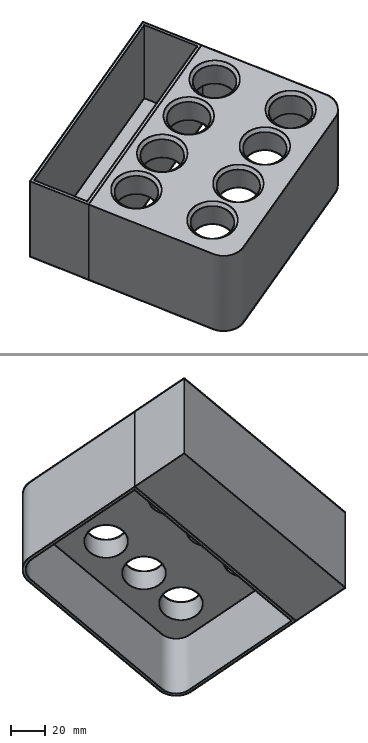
import cadquery as cq

LENGTH_X = 133.6
LENGTH_Y = 140.2
HEIGHT = 66.0
LEFT_X = -LENGTH_X / 2

TRAY_LENGTH_X = 38.5
TRAY_WALL = 1.8
TRAY_FLOOR = TRAY_WALL

BLOCK_LENGTH_X = LENGTH_X - TRAY_LENGTH_X
BLOCK_LEFT_X = LEFT_X + TRAY_LENGTH_X
CORNER_RADIUS = 13.2
BLOCK_WALL = TRAY_WALL
TOP_PLATE_THICKNESS = 18.0

HOLE_DIAMETER = 25.4
COUNTERSINK_DIAMETER = 29.5
COUNTERSINK_DEPTH = (COUNTERSINK_DIAMETER - HOLE_DIAMETER) / 2
COLUMN_PITCH = 50.0
FIRST_COLUMN_INSET = 19.2
FIRST_COLUMN_X = BLOCK_LEFT_X + FIRST_COLUMN_INSET
COLUMN_XS = [FIRST_COLUMN_X, FIRST_COLUMN_X + COLUMN_PITCH]
ROW_PITCH = 32.1
MIDDLE_ROW_PITCH = 33.0
ROWS_CENTRE_Y = 1.5
ROW_YS = [
    ROWS_CENTRE_Y + side * offset
    for side in (-1, 1)
    for offset in (MIDDLE_ROW_PITCH / 2, MIDDLE_ROW_PITCH / 2 + ROW_PITCH)
]


def centred_box(left_x, length_x, length_y, height, bottom_z):
    """Box starting at left_x and bottom_z, centred in Y."""
    return (
        cq.Workplane("XY")
        .box(length_x, length_y, height, centered=(False, True, False))
        .translate((left_x, 0, bottom_z))
    )


def make_tray():
    """Rectangular tray with a thin floor and walls."""
    outer = centred_box(LEFT_X, TRAY_LENGTH_X, LENGTH_Y, HEIGHT, 0)
    cavity = centred_box(
        LEFT_X + TRAY_WALL,
        TRAY_LENGTH_X - 2 * TRAY_WALL,
        LENGTH_Y - 2 * TRAY_WALL,
        HEIGHT - TRAY_FLOOR,
        TRAY_FLOOR,
    )
    return outer.cut(cavity)


def make_hole_cutter(x, y):
    """Through hole that widens conically at the top face."""
    bore = cq.Workplane("XY").center(x, y).circle(HOLE_DIAMETER / 2).extrude(HEIGHT)
    countersink = cq.Solid.makeCone(
        HOLE_DIAMETER / 2,
        COUNTERSINK_DIAMETER / 2,
        COUNTERSINK_DEPTH,
        pnt=cq.Vector(x, y, HEIGHT - COUNTERSINK_DEPTH),
    )
    return bore.union(cq.Workplane(countersink))


def make_block():
    """Hollow block, open underneath, with rounded +X corners and a grid of holes in its top plate."""
    block = centred_box(BLOCK_LEFT_X, BLOCK_LENGTH_X, LENGTH_Y, HEIGHT, 0)
    block = block.edges("|Z and >X").fillet(CORNER_RADIUS)
    cavity = centred_box(
        BLOCK_LEFT_X + BLOCK_WALL,
        BLOCK_LENGTH_X - 2 * BLOCK_WALL,
        LENGTH_Y - 2 * BLOCK_WALL,
        HEIGHT - TOP_PLATE_THICKNESS,
        0,
    )
    block = block.cut(cavity.edges("|Z and >X").fillet(CORNER_RADIUS - BLOCK_WALL))
    for x in COLUMN_XS:
        for y in ROW_YS:
            block = block.cut(make_hole_cutter(x, y))
    return block


tray = make_tray()
block = make_block()

result = cq.Compound.makeCompound([tray.val(), block.val()])